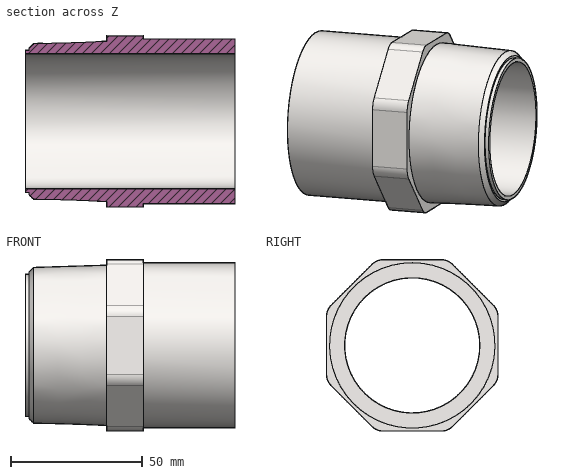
import cadquery as cq
import math


total_length = 80.0
collar_start = 31.0
collar_width = 14.0
lip_length = 1.4
chamfer_size = 1.8

bore_diameter = 51.4
lip_diameter = 54.3
taper_small_diameter = 59.5
taper_ratio = 1 / 16
spigot_diameter = 63.0

collar_sides = 8
collar_across_flats = 65.4
collar_corner_radius = 6.0

collar_end = collar_start + collar_width
taper_start = lip_length + chamfer_size
taper_large_diameter = taper_small_diameter + taper_ratio * (collar_start - taper_start)


def make_turned_body():
    """Lip, chamfered taper and spigot, revolved about X; the collar covers the part joining them."""
    lip_radius = lip_diameter / 2
    taper_small_radius = taper_small_diameter / 2
    taper_large_radius = taper_large_diameter / 2
    spigot_radius = spigot_diameter / 2
    profile = (
        cq.Workplane("XZ")
        .moveTo(0, 0)
        .lineTo(0, lip_radius)
        .lineTo(lip_length, lip_radius)
        .lineTo(lip_length, taper_small_radius - chamfer_size)
        .lineTo(taper_start, taper_small_radius)
        .lineTo(collar_start, taper_large_radius)
        .lineTo(collar_end, spigot_radius)
        .lineTo(total_length, spigot_radius)
        .lineTo(total_length, 0)
        .close()
    )
    return profile.revolve(360, (0, 0, 0), (1, 0, 0))


def make_collar():
    """Octagonal wrench collar with flats square to Y and Z and rounded corners."""
    half_sector = math.pi / collar_sides
    across_corners = collar_across_flats / math.cos(half_sector)
    return (
        cq.Workplane("YZ", origin=(collar_start, 0, 0))
        .transformed(rotate=(0, 0, math.degrees(half_sector)))
        .polygon(collar_sides, across_corners)
        .extrude(collar_width)
        .edges("|X")
        .fillet(collar_corner_radius)
    )


def make_bore():
    """Straight bore through the whole length."""
    return cq.Workplane("YZ").circle(bore_diameter / 2).extrude(total_length)


result = make_turned_body().union(make_collar()).cut(make_bore())